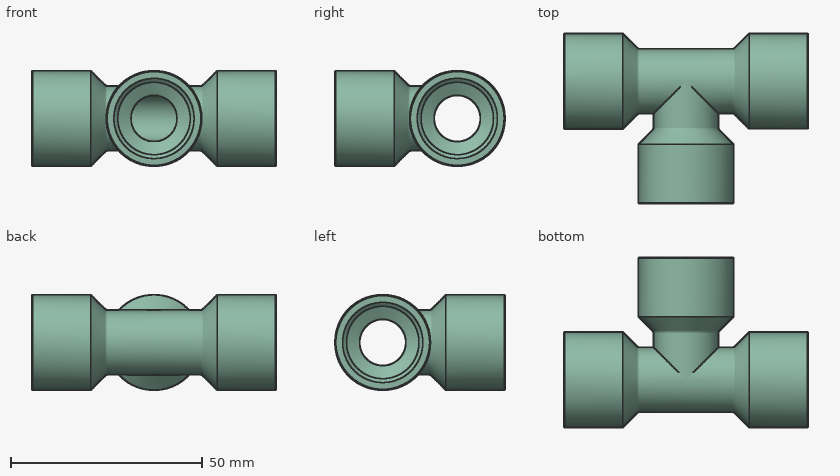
import cadquery as cq
import math

arm_length = 32.0
socket_diameter = 25.0
socket_radius = socket_diameter / 2
socket_length = 15.5
pipe_radius = 8.5
shoulder_fillet = 0.65
rim_chamfer = 0.25

bore_radius = 6.0
socket_bore_radius = 9.5
mouth_radius = 10.5

shoulder_start = arm_length - socket_length
shoulder_end = shoulder_start - (socket_radius - pipe_radius)
entry_depth = mouth_radius - socket_bore_radius

drill_point_angle = 120
bore_cone_start = shoulder_start
bore_cone_depth = (socket_bore_radius - bore_radius) / math.tan(math.radians(drill_point_angle / 2))
bore_cone_end = bore_cone_start - bore_cone_depth

arm_angles = (0, 180, 270)


def revolve_along_x(profile):
    """Revolve a closed (axial, radial) profile about the X axis."""
    return profile.close().revolve(360, (0, 0, 0), (1, 0, 0))


def arm_body():
    """Pipe, conical shoulder and socket of one arm along +X."""
    body = revolve_along_x(
        cq.Workplane("XY")
        .lineTo(0, pipe_radius)
        .lineTo(shoulder_end, pipe_radius)
        .lineTo(shoulder_start, socket_radius)
        .lineTo(arm_length, socket_radius)
        .lineTo(arm_length, 0)
    )
    shoulder_root = cq.selectors.NearestToPointSelector((shoulder_end, 0, 0))
    body = body.edges(shoulder_root).fillet(shoulder_fillet)
    return body.faces(">X").edges().chamfer(rim_chamfer)


def arm_bore():
    """Through bore, transition cone, socket bore and entry along +X."""
    return revolve_along_x(
        cq.Workplane("XY")
        .lineTo(0, bore_radius)
        .lineTo(bore_cone_end, bore_radius)
        .lineTo(bore_cone_start, socket_bore_radius)
        .lineTo(arm_length - entry_depth, socket_bore_radius)
        .lineTo(arm_length, mouth_radius)
        .lineTo(arm_length, 0)
    )


def join_arms(arm):
    """Copy one arm to all three directions and fuse the copies."""
    joined = cq.Workplane("XY")
    for angle in arm_angles:
        joined = joined.union(arm.rotate((0, 0, 0), (0, 0, 1), angle))
    return joined


result = join_arms(arm_body()).cut(join_arms(arm_bore()))